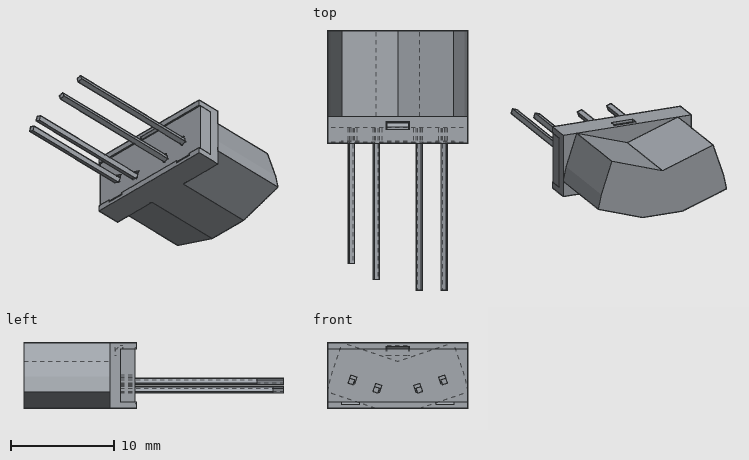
import cadquery as cq
import math


WIDTH = 13.6
LENGTH = 25.12
HEIGHT = 6.35
TILT = 18.7
TAN_TILT = math.tan(math.radians(TILT))

BLOCK_LENGTH = 8.31
PEAK_X = 5.38
SHOULDER_DROP = 3.3
WIDEST_Z = 1.58
SIDE_FLAT = 0.08

FRAME_DEPTH = 2.59
WEB_THICKNESS = 1.03
FLANGE_THICKNESS = 0.63

PLATE_INSET = 0.15
PLATE_REAR_Y = -WEB_THICKNESS
PLATE_FRONT_Y = PLATE_INSET - FRAME_DEPTH
PLATE_TOP_Z = HEIGHT - FLANGE_THICKNESS

WINDOW_WIDTH = 2.25
WINDOW_REAR_Y = -0.48
WINDOW_FRONT_Y = -1.25
LATCH_GAP = 0.08
LATCH_FRONT_GAP = 0.03
LATCH_ARM_THICKNESS = 0.63
HOOK_HEIGHT = 0.38
HOOK_TIP_LAND = 0.08

LEAD_IN = 0.25
LOWER_LEAD_IN_WIDTH = 1.7
LOWER_LEAD_IN_X = 4.57

PIN_SIZE = 0.5
PIN_PITCH = 2.54
INNER_PIN_X = 2.08
INNER_PIN_Z = 1.78
RIGHT_TIP_Y = BLOCK_LENGTH - LENGTH
LEFT_OUTER_TIP_Y = -14.22
LEFT_INNER_TIP_Y = -15.78

CLEARANCE_ABOVE = 0.33
CLEARANCE_INNER = 0.13
CLEARANCE_RISE = 0.1


def box_between(x_min, x_max, y_min, y_max, z_min, z_max):
    size = (x_max - x_min, y_max - y_min, z_max - z_min)
    return cq.Workplane("XY").box(*size, centered=False).translate((x_min, y_min, z_min))


def side_profile(points, width, center_x=0):
    """Extrude a (Y, Z) outline along X, centred on center_x."""
    profile = cq.Workplane("YZ").polyline(points).close().extrude(width / 2, both=True)
    return profile.translate((center_x, 0, 0))


def make_rear_block():
    """Prism along Y whose section is a V of two tilted arms with a flat underside."""
    right_side = [
        (WIDTH / 2 - WIDEST_Z / TAN_TILT, 0),
        (WIDTH / 2, WIDEST_Z),
        (WIDTH / 2, WIDEST_Z + SIDE_FLAT),
        (PEAK_X + SHOULDER_DROP * TAN_TILT, HEIGHT - SHOULDER_DROP),
        (PEAK_X, HEIGHT),
    ]
    valley = (0, HEIGHT - PEAK_X * TAN_TILT)
    left_side = [(-x, z) for x, z in reversed(right_side)]
    outline = right_side + [valley] + left_side
    return cq.Workplane("XZ").polyline(outline).close().extrude(-BLOCK_LENGTH)


def make_frame():
    """Channel whose web is at the rear and whose flanges reach forward."""
    half = WIDTH / 2
    frame = box_between(-half, half, -FRAME_DEPTH, 0, 0, HEIGHT)
    channel = box_between(-half, half, -FRAME_DEPTH, PLATE_REAR_Y, FLANGE_THICKNESS, PLATE_TOP_Z)
    return frame.cut(channel)


def make_lead_in(edge_z, direction, width, center_x):
    """Wedge cut from a flange's inner front edge; direction is +1 up or -1 down."""
    points = [
        (-FRAME_DEPTH, edge_z),
        (-FRAME_DEPTH, edge_z + direction * LEAD_IN),
        (LEAD_IN - FRAME_DEPTH, edge_z),
    ]
    return side_profile(points, width, center_x)


def make_housing():
    housing = make_frame().union(make_rear_block())
    half = WINDOW_WIDTH / 2
    window = box_between(-half, half, WINDOW_FRONT_Y, WINDOW_REAR_Y, PLATE_TOP_Z, HEIGHT)
    arm_bottom = PLATE_TOP_Z - LATCH_ARM_THICKNESS
    arm_pocket = box_between(-half, half, PLATE_REAR_Y, WINDOW_REAR_Y, arm_bottom, PLATE_TOP_Z)
    housing = housing.cut(window).cut(arm_pocket)
    housing = housing.cut(make_lead_in(PLATE_TOP_Z, 1, WINDOW_WIDTH, 0))
    for side in (-1, 1):
        lead_in = make_lead_in(FLANGE_THICKNESS, -1, LOWER_LEAD_IN_WIDTH, side * LOWER_LEAD_IN_X)
        housing = housing.cut(lead_in)
    return housing


def make_latch_arm():
    """Arm reaching back from the plate, with a 45 degree hook that rises into the window."""
    tip_y = WINDOW_REAR_Y - LATCH_GAP
    ramp_start_y = tip_y - HOOK_TIP_LAND
    catch_y = WINDOW_FRONT_Y + LATCH_FRONT_GAP
    points = [
        (PLATE_REAR_Y, PLATE_TOP_Z - LATCH_ARM_THICKNESS),
        (tip_y, PLATE_TOP_Z - LATCH_ARM_THICKNESS),
        (tip_y, PLATE_TOP_Z),
        (ramp_start_y, PLATE_TOP_Z),
        (ramp_start_y - HOOK_HEIGHT, PLATE_TOP_Z + HOOK_HEIGHT),
        (catch_y, PLATE_TOP_Z + HOOK_HEIGHT),
        (catch_y, PLATE_TOP_Z),
        (PLATE_REAR_Y, PLATE_TOP_Z),
    ]
    return side_profile(points, WINDOW_WIDTH - 2 * LATCH_GAP)


def pin_places():
    """List (side, x, z, tip y) of each pin; side is -1 left or +1 right."""
    outer_x = INNER_PIN_X + PIN_PITCH * math.cos(math.radians(TILT))
    outer_z = INNER_PIN_Z + PIN_PITCH * math.sin(math.radians(TILT))
    return [
        (-1, -outer_x, outer_z, LEFT_OUTER_TIP_Y),
        (-1, -INNER_PIN_X, INNER_PIN_Z, LEFT_INNER_TIP_Y),
        (1, INNER_PIN_X, INNER_PIN_Z, RIGHT_TIP_Y),
        (1, outer_x, outer_z, RIGHT_TIP_Y),
    ]


def tilted_bar(side, x, z, tip_y, width, height, offset_x=0, offset_z=0):
    """Rectangular bar from the plate's rear face to tip_y, tilted about the pin axis at (x, z)."""
    bar = (
        cq.Workplane("XZ", origin=(0, PLATE_REAR_Y, 0))
        .center(offset_x, offset_z)
        .rect(width, height)
        .extrude(PLATE_REAR_Y - tip_y)
    )
    return bar.rotate((0, 0, 0), (0, 1, 0), -side * TILT).translate((x, 0, z))


def make_pin(side, x, z, tip_y):
    return tilted_bar(side, x, z, tip_y, PIN_SIZE, PIN_SIZE)


def make_clearance(side, x, z):
    """Opening through the plate that is wider than the pin above it and on its inner side."""
    width = PIN_SIZE + CLEARANCE_INNER
    height = PIN_SIZE + CLEARANCE_ABOVE - CLEARANCE_RISE
    offset_x = -side * CLEARANCE_INNER / 2
    offset_z = (CLEARANCE_ABOVE + CLEARANCE_RISE) / 2
    return tilted_bar(side, x, z, PLATE_FRONT_Y, width, height, offset_x, offset_z)


def make_plate():
    half = WIDTH / 2
    plate = box_between(-half, half, PLATE_FRONT_Y, PLATE_REAR_Y, FLANGE_THICKNESS, PLATE_TOP_Z)
    plate = plate.union(make_latch_arm())
    for side, x, z, _ in pin_places():
        plate = plate.cut(make_pin(side, x, z, PLATE_FRONT_Y)).cut(make_clearance(side, x, z))
    return plate


housing = make_housing()
plate = make_plate()
pins = [make_pin(*place) for place in pin_places()]

result = cq.Compound.makeCompound([housing.val(), plate.val(), *[pin.val() for pin in pins]])